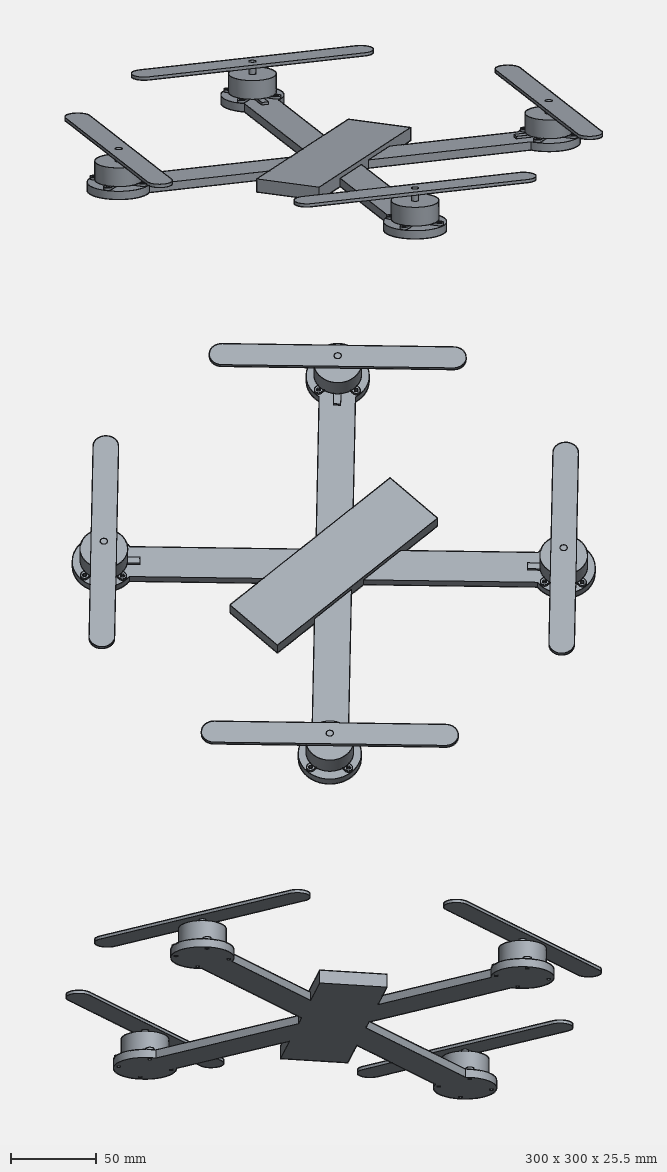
import cadquery as cq
import math

MOTOR_OFFSET = 94.8
ARM_WIDTH = 21.3
ARM_THICKNESS = 5.0
DISC_DIAMETER = 37.0
BLOCK_LENGTH_X = 40.0
BLOCK_LENGTH_Y = 130.0
BLOCK_HEIGHT = 8.0

CAN_DIAMETER = 28.0
CAN_HEIGHT = 11.5
SHAFT_DIAMETER = 4.2
TAB_REACH = 18.0
TAB_WIDTH = 4.8
TAB_THICKNESS = 1.5
SCREW_RADIUS = 15.5
SCREW_HOLE_DIAMETER = 2.2
LEAD_REACH = 21.0
LEAD_WIDTH = 4.2
LEAD_THICKNESS = 1.5

OUTER_SIZE = 300.0
TOTAL_HEIGHT = 25.5
BLADE_WIDTH = 15.0
BLADE_THICKNESS = 2.0

ARM_LENGTH = 2 * MOTOR_OFFSET * math.sqrt(2)
SHAFT_LENGTH = TOTAL_HEIGHT - ARM_THICKNESS - TAB_THICKNESS - CAN_HEIGHT
BLADE_TIP_OFFSET = OUTER_SIZE / 2 - MOTOR_OFFSET - BLADE_WIDTH / 2
BLADE_LENGTH = 2 * BLADE_TIP_OFFSET * math.sqrt(2) + BLADE_WIDTH

MOTOR_ANGLES = [45, 135, 225, 315]
SCREW_POINTS = [(SCREW_RADIUS, 0), (0, SCREW_RADIUS), (-SCREW_RADIUS, 0), (0, -SCREW_RADIUS)]


def motor_center(angle):
    """Return the X, Y position of the motor axis on the arm at this angle."""
    reach = ARM_LENGTH / 2
    return reach * math.cos(math.radians(angle)), reach * math.sin(math.radians(angle))


def make_frame():
    """Build the crossed arms, end discs and central block as one body."""
    frame = cq.Workplane("XY").box(
        BLOCK_LENGTH_X, BLOCK_LENGTH_Y, BLOCK_HEIGHT, centered=(True, True, False)
    )
    arm = cq.Workplane("XY").box(ARM_LENGTH, ARM_WIDTH, ARM_THICKNESS, centered=(True, True, False))
    for angle in (45, 135):
        frame = frame.union(arm.rotate((0, 0, 0), (0, 0, 1), angle))

    centers = [motor_center(angle) for angle in MOTOR_ANGLES]
    discs = cq.Workplane("XY").pushPoints(centers).circle(DISC_DIAMETER / 2).extrude(ARM_THICKNESS)
    frame = frame.union(discs)

    screw_centers = [(x + dx, y + dy) for x, y in centers for dx, dy in SCREW_POINTS]
    screw_holes = (
        cq.Workplane("XY").pushPoints(screw_centers).circle(SCREW_HOLE_DIAMETER / 2).extrude(ARM_THICKNESS)
    )
    return frame.cut(screw_holes)


def make_motor(angle):
    """Build one motor on the arm at this angle, its lead pointing to the frame center."""
    base = cq.Workplane("XY", origin=(0, 0, ARM_THICKNESS))
    can = (
        cq.Workplane("XY", origin=(0, 0, ARM_THICKNESS + TAB_THICKNESS))
        .circle(CAN_DIAMETER / 2)
        .extrude(CAN_HEIGHT)
    )
    shaft = can.faces(">Z").workplane().circle(SHAFT_DIAMETER / 2).extrude(SHAFT_LENGTH)
    motor = can.union(shaft)

    for bar_angle in (0, 90):
        bar = base.slot2D(2 * TAB_REACH, TAB_WIDTH, bar_angle).extrude(TAB_THICKNESS)
        motor = motor.union(bar)

    lead = base.box(LEAD_REACH, LEAD_WIDTH, LEAD_THICKNESS, centered=(False, True, False))
    motor = motor.union(lead.rotate((0, 0, 0), (0, 0, 1), angle + 180))

    screw_holes = base.pushPoints(SCREW_POINTS).circle(SCREW_HOLE_DIAMETER / 2).extrude(TAB_THICKNESS)
    motor = motor.cut(screw_holes)
    x, y = motor_center(angle)
    return motor.translate((x, y, 0))


def make_propeller(angle):
    """Build one propeller, its blade square to the arm at this angle."""
    blade = (
        cq.Workplane("XY", origin=(0, 0, TOTAL_HEIGHT - BLADE_THICKNESS))
        .slot2D(BLADE_LENGTH, BLADE_WIDTH)
        .circle(SHAFT_DIAMETER / 2)
        .extrude(BLADE_THICKNESS)
    )
    x, y = motor_center(angle)
    return blade.rotate((0, 0, 0), (0, 0, 1), angle + 90).translate((x, y, 0))


frame = make_frame()
motors = [make_motor(angle) for angle in MOTOR_ANGLES]
propellers = [make_propeller(angle) for angle in MOTOR_ANGLES]

result = cq.Compound.makeCompound(
    [frame.val()] + [motor.val() for motor in motors] + [propeller.val() for propeller in propellers]
)